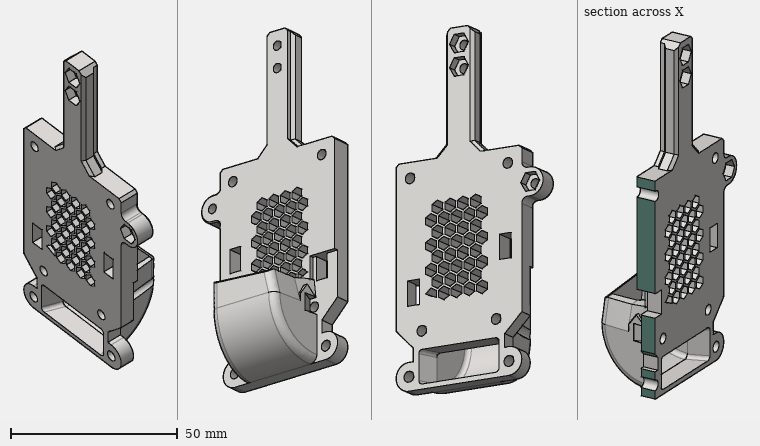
import cadquery as cq
import math


plate_half_width = 22.0
plate_top = 71.2
plate_thickness = 6.5
thin_thickness = 5.0
thin_top = 34.4
pad_half_width = 12.6
neck_half_width = 16.0
shoulder_height = 19.2
neck_top = shoulder_height - (plate_half_width - neck_half_width)
top_corner_chamfer = 1.0
upper_hole_x = 17.1
upper_hole_z = 66.2
lower_hole_x = 13.0
lower_hole_z = 18.2
plate_hole_diameter = 3.3

lug_radius = 4.5
lug_x = plate_half_width - lug_radius
lug_hole_diameter = 3.4

side_lug_x = 24.93
side_lug_z = 59.4
side_lug_chamfer = 0.4
side_lug_fillet = 2.0
nut_corner_diameter = 6.6
nut_depth = 3.0
bolt_diameter = 3.0

arm_top = 111.0
arm_half_width = 4.95
arm_flare = 4.0
arm_tip_chamfer = 2.0
arm_inset = 1.0
arm_inset_start = 4.0
arm_bolt_setback = 5.0
arm_bolt_spacing = 7.3
arm_first_bolt_z = arm_top - arm_bolt_setback
arm_bolt_heights = (arm_first_bolt_z, arm_first_bolt_z - arm_bolt_spacing)

slot_width = 4.1
slot_height = 7.9
slot_centres = ((-15.9, 30.45), (16.2, 40.5))
vent_pitch = 4.46
vent_row_pitch = vent_pitch * math.sqrt(3) / 2
vent_across_flats = 3.7
vent_rows = 8
vent_long_row = 5
vent_short_row = 4
vent_centre_x = -0.85
vent_bottom_z = 28.9

duct_back = 23.0
duct_arc_radius = duct_back - thin_thickness
duct_wall = 1.5
duct_root_half_width = 14.05
duct_back_half_width = 12.2
duct_bend_y = 12.1
duct_rim_z = 27.7
duct_rim_left_z = 25.9
duct_rim_root_z = 28.85
duct_rim_left_x = (-12.8, -10.3, -9.6)
duct_edge_fillet = 2.5
duct_rim_back_run = 1.8
duct_rim_back_fall = 1.2
bore_edge_fillet = 1.5
exit_left = -7.0
exit_right = 11.0
bore_root_half_width = 11.6
bore_back_half_width = 9.8
inlet_half_width = 14.0
inlet_bottom = 1.6
inlet_top = 12.4
inlet_corner_radius = 1.2

pocket_back = 10.0
pocket_bottom = 15.5
pocket_top = 21.1
pocket_inner_front_x = -11.35
pocket_inner_back_x = -13.4
pocket_outer_x = 16.0
gable_back = 11.9
gable_eaves = 20.5
gable_apex = (9.1, 24.2)
gable_inner_x = -11.5

overlap = 0.5
beyond = 40.0


def front_plane(y=0.0):
    """Workplane with local axes X and Z whose extrusions run towards +Y."""
    return cq.Workplane(cq.Plane(origin=(0, y, 0), xDir=(1, 0, 0), normal=(0, -1, 0)))


def extrude_back(sketch, depth):
    return sketch.extrude(-depth)


def box(x_range, y_range, z_range):
    size = [r[1] - r[0] for r in (x_range, y_range, z_range)]
    corner = (x_range[0], y_range[0], z_range[0])
    return cq.Workplane("XY").box(*size, centered=False).translate(corner)


def round_bar(x, z, diameter, depth):
    return extrude_back(front_plane().center(x, z).circle(diameter / 2), depth)


def prism_along_x(points, x_start, x_end):
    """Extrude a (Y, Z) outline from x_start to x_end."""
    return cq.Workplane("YZ", origin=(x_start, 0, 0)).polyline(points).close().extrude(x_end - x_start)


def make_plate():
    half_outline = [
        (neck_half_width, 0),
        (neck_half_width, neck_top),
        (plate_half_width, shoulder_height),
        (plate_half_width, plate_top - top_corner_chamfer),
        (plate_half_width - top_corner_chamfer, plate_top),
    ]
    outline = half_outline + [(-x, z) for x, z in reversed(half_outline)]
    plate = extrude_back(front_plane().polyline(outline).close(), plate_thickness)
    thick_back = (thin_thickness, plate_thickness)
    plate = plate.cut(box((-beyond, beyond), thick_back, (0, thin_top)))
    plate = plate.union(box((-pad_half_width, pad_half_width), thick_back, (neck_top, thin_top)))
    bar = front_plane().center(0, lug_radius).slot2D(2 * plate_half_width, 2 * lug_radius)
    return plate.union(extrude_back(bar, thin_thickness))


def make_side_lug():
    """Round lug on the right edge, blended into the plate by concave fillets."""
    reach = lug_radius + side_lug_fillet
    blend_x = plate_half_width + side_lug_fillet
    diagonal = side_lug_fillet * (1 - math.sqrt(0.5))
    root_x = plate_half_width - overlap
    outline = (
        front_plane()
        .center(0, side_lug_z)
        .moveTo(root_x, reach)
        .lineTo(plate_half_width, reach)
        .threePointArc((plate_half_width + diagonal, lug_radius + diagonal), (blend_x, lug_radius))
        .lineTo(side_lug_x, lug_radius)
        .threePointArc((side_lug_x + lug_radius, 0), (side_lug_x, -lug_radius))
        .lineTo(blend_x, -lug_radius)
        .threePointArc((plate_half_width + diagonal, -lug_radius - diagonal), (plate_half_width, -reach))
        .lineTo(root_x, -reach)
        .close()
    )
    lug = extrude_back(outline, plate_thickness)
    rounded_back_edge = lug.faces(">Y").edges(">X")
    return rounded_back_edge.chamfer(side_lug_chamfer)


def arm_outline(plane, inset):
    half_width = arm_half_width - inset
    tip_half_width = arm_half_width - arm_tip_chamfer
    foot_half_width = arm_half_width + arm_flare - inset * math.sqrt(2)
    half = [
        (foot_half_width, plate_top - overlap),
        (foot_half_width, plate_top),
        (half_width, plate_top + foot_half_width - half_width),
        (half_width, arm_top - arm_tip_chamfer + inset),
        (tip_half_width, arm_top),
    ]
    return plane.polyline(half + [(-x, z) for x, z in reversed(half)]).close()


def arm_bevel(y, inset_start, inset_end):
    start = arm_outline(front_plane(y), inset_start)
    return arm_outline(start.workplane(offset=-arm_inset), inset_end).loft(ruled=True)


def make_arm():
    """Arm with bevelled front edges and a narrower back."""
    core = extrude_back(arm_outline(front_plane(), arm_inset), plate_thickness)
    middle = extrude_back(arm_outline(front_plane(arm_inset), 0), arm_inset_start - arm_inset)
    front_bevel = arm_bevel(0, arm_inset, 0)
    back_bevel = arm_bevel(arm_inset_start, 0, arm_inset)
    return core.union(middle).union(front_bevel).union(back_bevel)


def quarter_round(radius, half_width):
    """Quarter cylinder along X, centred on the bend where the duct turns upwards."""
    centre = (thin_thickness, duct_arc_radius)
    mid = radius * math.sqrt(0.5)
    return (
        cq.Workplane("YZ", origin=(-half_width, 0, 0))
        .moveTo(*centre)
        .lineTo(centre[0], centre[1] - radius)
        .threePointArc((centre[0] + mid, centre[1] - mid), (centre[0] + radius, centre[1]))
        .close()
        .extrude(2 * half_width)
    )


def drafted_prism(root_half_width, back_half_width, root_y, back_y, height):
    """Upright prism whose width narrows from the root to the back."""
    points = [
        (-root_half_width, root_y),
        (root_half_width, root_y),
        (back_half_width, back_y),
        (-back_half_width, back_y),
    ]
    return cq.Workplane("XY").polyline(points).close().extrude(height)


def rim_outline(drop):
    """(Y, Z) outline of the upper duct with its rim lowered by drop."""
    return [
        (0, duct_arc_radius),
        (0, duct_rim_root_z - drop),
        (plate_thickness, duct_rim_root_z - drop),
        (duct_bend_y, duct_rim_z - drop),
        (duct_back - duct_rim_back_run, duct_rim_z - drop),
        (duct_back, duct_rim_z - drop - duct_rim_back_fall),
        (duct_back, duct_arc_radius),
    ]


def make_duct_chimney():
    """Upper duct: its left wall leans inwards and its rim slopes down to the left."""
    def section(plane, left_root, left_bend, left_back):
        return plane.polyline([
            (duct_root_half_width, thin_thickness),
            (duct_back_half_width, duct_back),
            (left_back, duct_back),
            (left_bend, duct_bend_y),
            (left_root, thin_thickness),
        ]).close()

    narrowing = (duct_root_half_width - duct_back_half_width) / (duct_back - thin_thickness)
    bend_half_width = duct_root_half_width - narrowing * (duct_bend_y - thin_thickness)
    base = section(
        cq.Workplane("XY", origin=(0, 0, duct_arc_radius)),
        -duct_root_half_width, -bend_half_width, -duct_back_half_width,
    )
    rise = duct_rim_root_z - duct_arc_radius
    chimney = section(base.workplane(offset=rise), *duct_rim_left_x).loft(ruled=True)
    back_edges = chimney.edges(cq.selectors.BoxSelector(
        (-beyond, duct_back - overlap, duct_arc_radius + overlap),
        (beyond, duct_back + overlap, duct_rim_root_z - overlap),
    ))
    chimney = back_edges.fillet(duct_edge_fillet)

    left_x = duct_rim_left_x[0]
    span = duct_root_half_width - left_x
    left_drop = duct_rim_z - duct_rim_left_z
    envelope = cq.Workplane("YZ", origin=(left_x, 0, 0)).polyline(rim_outline(left_drop)).close()
    envelope = envelope.workplane(offset=span).polyline(rim_outline(0)).close().loft(ruled=True)
    left_side = prism_along_x(rim_outline(left_drop), -beyond, left_x)
    return chimney.intersect(envelope.union(left_side))


def round_curved_edges(elbow, radius):
    """Fillet the curved edges between the cylindrical face of an elbow and its sides."""
    return elbow.faces("%CYLINDER").edges("%ELLIPSE").fillet(radius)


def make_duct_elbow():
    elbow = quarter_round(duct_arc_radius, beyond).intersect(drafted_prism(
        duct_root_half_width, duct_back_half_width, thin_thickness, duct_back, duct_arc_radius,
    ))
    return round_curved_edges(elbow, duct_edge_fillet)


def make_gable():
    """Gabled block that keeps the duct side straight around the left screw head."""
    outline = [
        (thin_thickness, duct_arc_radius),
        (thin_thickness, gable_eaves),
        gable_apex,
        (gable_back, gable_eaves),
        (gable_back, duct_arc_radius),
    ]
    return prism_along_x(outline, -beyond, gable_inner_x).intersect(drafted_prism(
        duct_root_half_width, duct_back_half_width, thin_thickness, duct_back, beyond,
    ))


def make_bore():
    """Air passage from the inlet in the front face to the rim of the duct."""
    bore_back = duct_back - duct_wall
    elbow = quarter_round(duct_arc_radius - duct_wall, beyond).intersect(drafted_prism(
        bore_root_half_width, bore_back_half_width, plate_thickness, bore_back, duct_arc_radius,
    ))
    elbow = round_curved_edges(elbow, bore_edge_fillet)
    base = cq.Workplane("XY", origin=(0, 0, duct_arc_radius)).polyline([
        (-bore_root_half_width, plate_thickness),
        (bore_root_half_width, plate_thickness),
        (bore_back_half_width, bore_back),
        (-bore_back_half_width, bore_back),
    ]).close()
    rise = duct_rim_root_z - duct_arc_radius
    chimney = base.workplane(offset=rise).polyline([
        (exit_left, plate_thickness),
        (exit_right, plate_thickness),
        (exit_right, bore_back),
        (exit_left, bore_back),
    ]).close().loft(ruled=True)

    inlet_z = (inlet_bottom + inlet_top) / 2
    inlet_height = inlet_top - inlet_bottom
    mouth = front_plane().center(0, inlet_z).rect(2 * inlet_half_width, inlet_height)
    mouth = mouth.workplane(offset=-plate_thickness).rect(2 * bore_root_half_width, inlet_height)
    mouth = mouth.loft(ruled=True)
    corner_edges = mouth.edges("not(#Y)").edges("not(|X or |Z)")
    mouth = corner_edges.fillet(inlet_corner_radius)
    return elbow.union(chimney).union(mouth)


def make_screw_pockets():
    """Mirrored pockets with slanted inner walls."""
    left_outline = [
        (-pocket_outer_x, thin_thickness),
        (pocket_inner_front_x, thin_thickness),
        (pocket_inner_back_x, pocket_back),
        (-pocket_outer_x, pocket_back),
    ]
    left = cq.Workplane("XY", origin=(0, 0, pocket_bottom)).polyline(left_outline).close()
    left = left.extrude(pocket_top - pocket_bottom)
    return left.union(left.mirror("YZ"))


def make_plate_holes():
    """Screw holes and slots; the lower right hole runs on through the duct side."""
    holes = round_bar(-lower_hole_x, lower_hole_z, plate_hole_diameter, thin_thickness)
    holes = holes.union(round_bar(lower_hole_x, lower_hole_z, plate_hole_diameter, beyond))
    for side in (-1, 1):
        upper_hole = round_bar(side * upper_hole_x, upper_hole_z, plate_hole_diameter, plate_thickness)
        holes = holes.union(upper_hole)
        holes = holes.union(round_bar(side * lug_x, lug_radius, lug_hole_diameter, thin_thickness))
    for x, z in slot_centres:
        slot = front_plane().center(x, z).rect(slot_width, slot_height)
        holes = holes.union(extrude_back(slot, plate_thickness))
    return holes


def make_nut_holes():
    """Through bolts with hexagonal nut pockets in the front face."""
    places = [(0, z) for z in arm_bolt_heights] + [(side_lug_x, side_lug_z)]
    pockets = extrude_back(front_plane().pushPoints(places).polygon(6, nut_corner_diameter), nut_depth)
    bolts = extrude_back(front_plane().pushPoints(places).circle(bolt_diameter / 2), plate_thickness)
    return pockets.union(bolts)


def make_vent():
    """Honeycomb of alternating five- and four-hole rows; the lower left hole is cut short."""
    corner_radius = vent_across_flats / math.sqrt(3)
    half_flat = vent_across_flats / 2
    side_z = corner_radius / 2
    hexagon = [
        (0, corner_radius),
        (half_flat, side_z),
        (half_flat, -side_z),
        (0, -corner_radius),
        (-half_flat, -side_z),
        (-half_flat, side_z),
    ]
    short_hole = [(0, corner_radius), (half_flat, side_z), (half_flat, -side_z), (-half_flat, side_z / 2)]
    vent = cq.Workplane("XY")
    for row in range(vent_rows):
        count = vent_long_row if row % 2 == 0 else vent_short_row
        z = vent_bottom_z + row * vent_row_pitch
        for column in range(count):
            x = vent_centre_x + (column - (count - 1) / 2) * vent_pitch
            shape = short_hole if row == 0 and column == 0 else hexagon
            outline = front_plane().center(x, z).polyline(shape).close()
            vent = vent.add(extrude_back(outline, plate_thickness))
    return vent


body = make_plate().union(make_side_lug()).union(make_arm())
body = body.union(make_duct_elbow()).union(make_duct_chimney()).union(make_gable())
body = body.cut(make_bore()).cut(make_screw_pockets())
body = body.cut(make_plate_holes()).cut(make_nut_holes())
result = body.cut(make_vent())